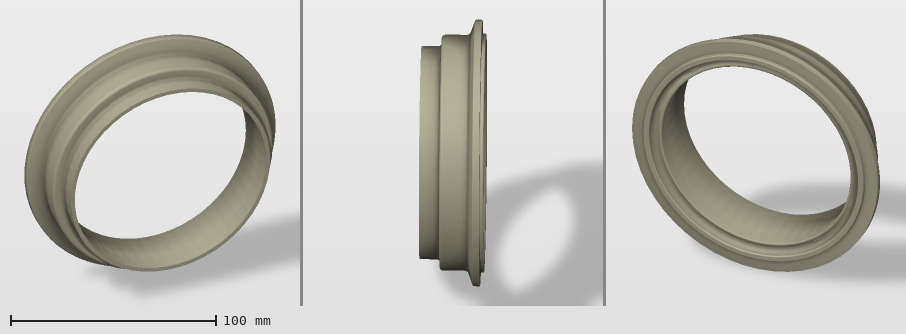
import cadquery as cq
import math

length = 31.5
bore_radius = 100.0 / 2
spigot_radius = 104 / 2
body_radius = 115.0 / 2
pilot_radius = 116.6 / 2
flange_radius = 130 / 2

flange_front = 2.0
flange_back = 5.3
body_end = 21.6

cone_angle = 20
cone_end = flange_back + (flange_radius - body_radius) * math.tan(math.radians(cone_angle))

flange_rim_fillet = 0.9
cone_root_fillet = 1.7
body_fillet = 1.5
spigot_root_fillet = 1.5
pilot_fillet = 0.5
pilot_root_fillet = 0.4

groove_radius = 53.3
groove_center_x = 2.2
groove_section_radius = 2.3
groove_rim_fillet = 0.6
lip_setback = 3.2
lip_groove_fillet = 0.6
lip_bore_fillet = 0.5

pick_margin = 0.01


def ring_blank():
    """Make the stepped ring with sharp edges, its bore starting at the lip."""
    section = cq.Workplane("XY").polyline([
        (lip_setback, bore_radius),
        (lip_setback, groove_radius),
        (0, groove_radius),
        (0, pilot_radius),
        (flange_front, pilot_radius),
        (flange_front, flange_radius),
        (flange_back, flange_radius),
        (cone_end, body_radius),
        (body_end, body_radius),
        (body_end, spigot_radius),
        (length, spigot_radius),
        (length, bore_radius),
    ]).close()
    return section.revolve(360, (0, 0, 0), (1, 0, 0))


def groove_cutter():
    """Make the annular groove of circular section."""
    plane = cq.Plane(origin=(groove_center_x, groove_radius, 0), xDir=(-1, 0, 0), normal=(0, 0, 1))
    section = cq.Workplane(plane).circle(groove_section_radius)
    return section.revolve(360, (0, groove_radius, 0), (1, groove_radius, 0))


def groove_reach(x):
    """Return the half-width of the groove at one position along X."""
    return math.sqrt(groove_section_radius ** 2 - (x - groove_center_x) ** 2)


def fillet_circle(solid, x, radius, size):
    """Round the circular edge of one radius about X at one position."""
    def on_circle(edge):
        same_place = abs(edge.Center().x - x) < pick_margin
        return same_place and edge.geomType() == "CIRCLE" and abs(edge.radius() - radius) < pick_margin

    edges = [edge for edge in solid.edges().vals() if on_circle(edge)]
    return solid.newObject(edges).fillet(size)


ring = ring_blank().cut(groove_cutter())

rounded_edges = [
    (0, pilot_radius, pilot_fillet),
    (flange_front, pilot_radius, pilot_root_fillet),
    (flange_back, flange_radius, flange_rim_fillet),
    (cone_end, body_radius, cone_root_fillet),
    (body_end, body_radius, body_fillet),
    (body_end, spigot_radius, spigot_root_fillet),
    (0, groove_radius + groove_reach(0), groove_rim_fillet),
    (lip_setback, groove_radius - groove_reach(lip_setback), lip_groove_fillet),
    (lip_setback, bore_radius, lip_bore_fillet),
]
for x, radius, size in rounded_edges:
    ring = fillet_circle(ring, x, radius, size)

result = ring